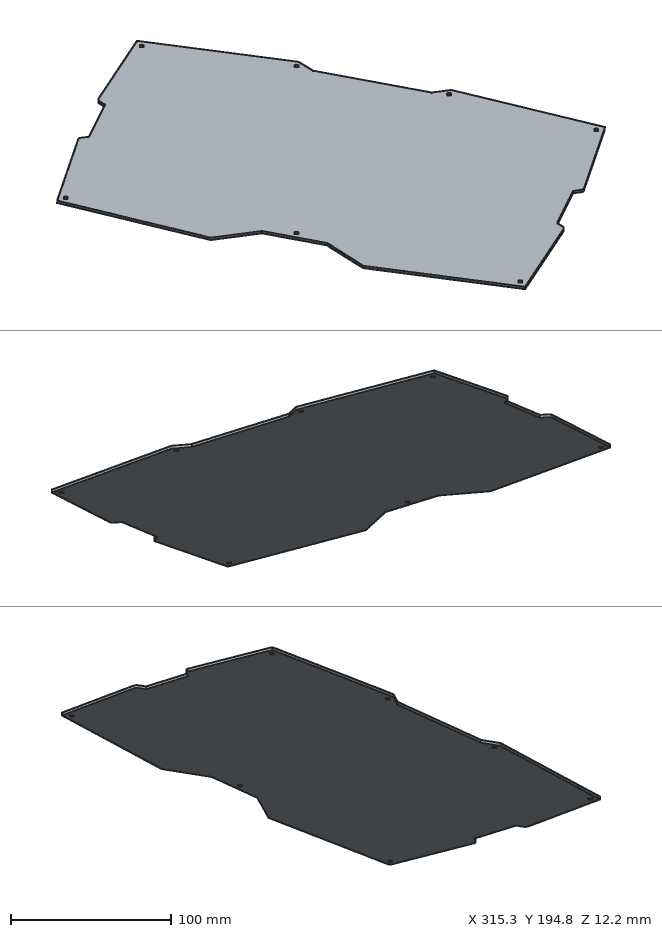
import cadquery as cq
import math

LENGTH = 315.3
DEPTH = 194.8
THICKNESS = 2.0
TILT = 3.0
TIP_RADIUS = 2.5
EDGE_TAPER = 5.0
NOTCH_ANGLE = 30.0

CORNER_X = 152.0
CORNER_Y = 88.5
PEAK_X = 49.5
SIDE_TIP_Y = 21.0
REAR_NOTCH_DEPTH = 6.3
FRONT_NOTCH_DEPTH = 16.5

HOLE_DIAMETER = 2.7
CORNER_HOLE_INSET = 4.5
REAR_HOLE_INSET = 4.7
FRONT_HOLE_INSET = 4.5

NOTCH_SLOPE = math.tan(math.radians(NOTCH_ANGLE))


def sharp_overshoot(first_angle, second_angle):
    """Height of a sharp corner above its rounded crest, from the edge slopes at either side."""
    half_turn = math.radians(first_angle + second_angle) / 2
    lean = math.radians(first_angle - second_angle) / 2
    return TIP_RADIUS * (math.cos(lean) / math.cos(half_turn) - 1)


tilt_angle = math.radians(TILT)
flat_depth = (DEPTH - THICKNESS * math.sin(tilt_angle)) / math.cos(tilt_angle)

tip_x = LENGTH / 2 + sharp_overshoot(EDGE_TAPER, 90 - NOTCH_ANGLE)
peak_y = flat_depth / 2 + sharp_overshoot(EDGE_TAPER, NOTCH_ANGLE)
side_notch_y = SIDE_TIP_Y - (tip_x - CORNER_X) * NOTCH_SLOPE
front_notch_y = FRONT_NOTCH_DEPTH - peak_y
front_notch_x = PEAK_X - FRONT_NOTCH_DEPTH / NOTCH_SLOPE
rear_notch_y = peak_y - REAR_NOTCH_DEPTH
rear_notch_x = PEAK_X - REAR_NOTCH_DEPTH / NOTCH_SLOPE


def make_plate():
    """Flat plate with notched edges, symmetric about the YZ plane."""
    right_side = [
        (front_notch_x, front_notch_y),
        (PEAK_X, -peak_y),
        (CORNER_X, -CORNER_Y),
        (tip_x, -SIDE_TIP_Y),
        (CORNER_X, -side_notch_y),
        (CORNER_X, side_notch_y),
        (tip_x, SIDE_TIP_Y),
        (CORNER_X, CORNER_Y),
        (PEAK_X, peak_y),
        (rear_notch_x, rear_notch_y),
    ]
    left_side = [(-x, y) for x, y in reversed(right_side)]
    outline = cq.Workplane("XY").polyline(right_side + left_side).close()
    plate = outline.extrude(THICKNESS / 2, both=True)
    for side in (-1, 1):
        for x, y in ((PEAK_X, peak_y), (tip_x, SIDE_TIP_Y)):
            for end in (-1, 1):
                corner = cq.selectors.NearestToPointSelector((side * x, end * y, 0))
                plate = plate.edges("|Z").edges(corner).fillet(TIP_RADIUS)
    return plate


def drill_holes(plate):
    """Through holes at the corners, the rear peaks and the front notch."""
    hole_x = CORNER_X - CORNER_HOLE_INSET
    hole_y = CORNER_Y - CORNER_HOLE_INSET
    centres = [(0, front_notch_y + FRONT_HOLE_INSET)]
    for side in (-1, 1):
        centres.append((side * hole_x, -hole_y))
        centres.append((side * hole_x, hole_y))
        centres.append((side * PEAK_X, peak_y - REAR_HOLE_INSET))
    holes = cq.Workplane("XY").pushPoints(centres).circle(HOLE_DIAMETER / 2)
    return plate.cut(holes.extrude(THICKNESS, both=True))


flat_plate = drill_holes(make_plate())
result = flat_plate.rotate((0, 0, 0), (1, 0, 0), -TILT)